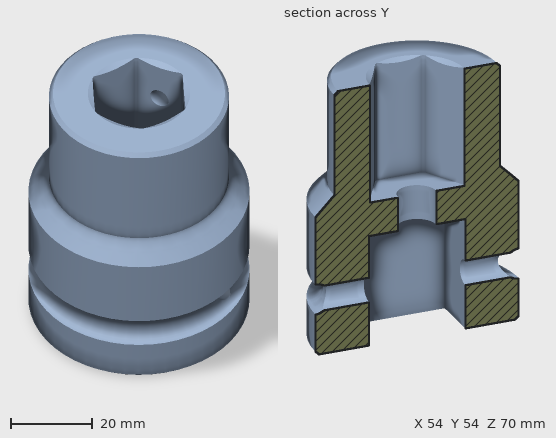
import cadquery as cq
import math

height = 70.0
body_diameter = 54.0
body_radius = body_diameter / 2
nose_radius = 22.0
cone_bottom = 37.1
cone_top = 42.15
edge_chamfer = 1.0

groove_z = 15.0
groove_radius = 4.0
pin_hole_diameter = 6.5

hex_across_flats = 22.05
hex_corner_diameter = 25.0
hex_depth = 31.5
lead_in_angle = 30.0

screw_hole_diameter = 5.0
screw_hole_z = 59.0

drive_width = 25.4
drive_depth = 29.4
bore_diameter = 10.0


def make_body():
    """Revolve the stepped outline, with a half-round groove in the drive end."""
    return (
        cq.Workplane("XZ")
        .lineTo(body_radius - edge_chamfer, 0)
        .lineTo(body_radius, edge_chamfer)
        .lineTo(body_radius, groove_z - groove_radius)
        .threePointArc(
            (body_radius - groove_radius, groove_z),
            (body_radius, groove_z + groove_radius),
        )
        .lineTo(body_radius, cone_bottom)
        .lineTo(nose_radius, cone_top)
        .lineTo(nose_radius, height - edge_chamfer)
        .lineTo(nose_radius - edge_chamfer, height)
        .lineTo(0, height)
        .close()
        .revolve(360, (0, 0, 0), (0, 1, 0))
    )


def make_hex_socket():
    """Hexagon with flats facing +Y and -Y, its sharp corners cut by small flats."""
    floor = cq.Workplane("XY").workplane(offset=height - hex_depth)
    hexagon = floor.polygon(6, hex_across_flats / math.cos(math.pi / 6)).extrude(hex_depth)
    corner_flats = (
        floor.polygon(6, hex_corner_diameter / math.cos(math.pi / 6))
        .extrude(hex_depth)
        .rotate((0, 0, 0), (0, 0, 1), 30)
    )
    return hexagon.intersect(corner_flats)


def make_lead_in():
    """Cone narrowing from the corner circle at the mouth down to a point."""
    mouth_radius = hex_corner_diameter / 2
    cone_depth = mouth_radius * math.tan(math.radians(lead_in_angle))
    return cq.Workplane(
        cq.Solid.makeCone(mouth_radius, 0, cone_depth, cq.Vector(0, 0, height), cq.Vector(0, 0, -1))
    )


def make_drive_socket():
    """Square socket open at the bottom, with its sides along X and Y."""
    return cq.Workplane("XY").rect(drive_width, drive_width).extrude(drive_depth)


def make_bore():
    """Round bore along the full axis."""
    return cq.Workplane("XY").circle(bore_diameter / 2).extrude(height)


def make_pin_hole():
    """Pin hole along X, through both walls at the middle of the groove."""
    return (
        cq.Workplane("YZ")
        .center(0, groove_z)
        .circle(pin_hole_diameter / 2)
        .extrude(body_radius, both=True)
    )


def make_screw_hole():
    """Hole from the axis outwards through the +Y wall."""
    return (
        cq.Workplane("XZ")
        .center(0, screw_hole_z)
        .circle(screw_hole_diameter / 2)
        .extrude(-body_radius)
    )


result = (
    make_body()
    .cut(make_hex_socket())
    .cut(make_lead_in())
    .cut(make_drive_socket())
    .cut(make_bore())
    .cut(make_pin_hole())
    .cut(make_screw_hole())
)